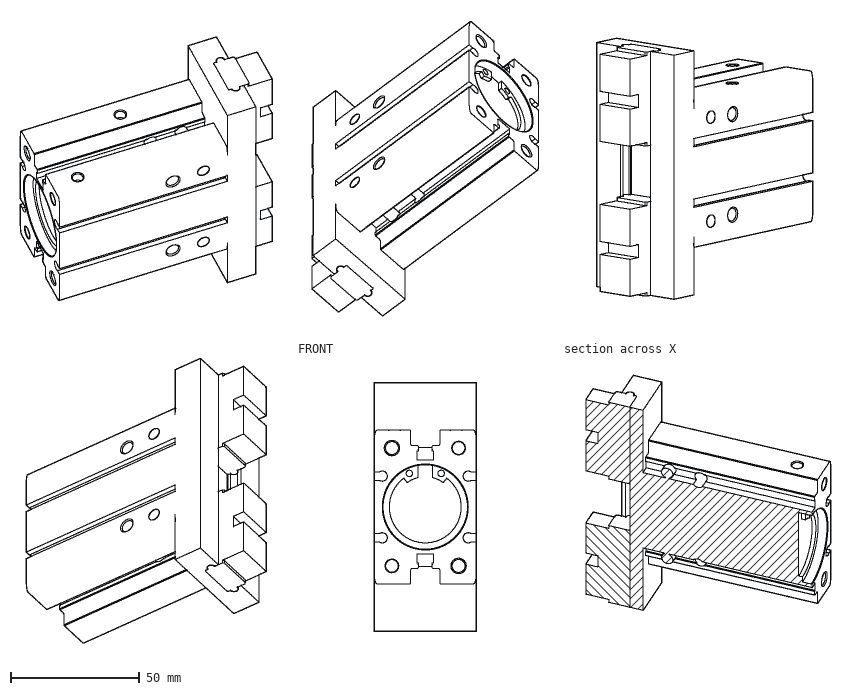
import cadquery as cq
import math


width = 40.0
flange_height = 97.0
body_height = 60.0
overall_length = 95.0
flange_thickness = 12.0
finger_reach = 12.0
flange_face_y = overall_length - finger_reach
body_length = flange_face_y - flange_thickness
half_width = width / 2
half_height = body_height / 2

side_arc_radius = 13.0
side_arc_height = 4.5
edge_fillet = 1.0

slot_width = 11.35
slot_depth = 6.1
slot_fillet = 0.7
slot_edge_chamfer = 0.3
neck_width = 5.3
neck_depth = 2.0
pocket_width = 6.6
pocket_floor_z = 18.3

groove_z = 12.0
groove_mouth = 3.3
groove_diameter = 4.0
groove_centre_depth = 3.2

bore_diameter = 33.0
bore_depth = 5.5
bore_chamfer = 0.3
ring_inner_diameter = 28.0
ring_thickness = 1.6
ring_gap = 5.8
ear_inner_diameter = 23.7
ear_half_angle = 36.6
ear_hole_diameter = 2.5
ear_hole_x = 6.2
ear_hole_z = 13.1

screw_diameter = 5.0
screw_countersink = 0.5
plain_hole_diameter = 4.9
plain_hole_countersink = 0.2
end_screw_x = 13.0
end_screw_z = 23.0
end_screw_depth = 20.0
cross_hole_diameter = 5.0
cross_hole_countersink = 0.5
cross_hole_y = 47.9
cross_hole_z = 20.0
pin_diameter = 4.9
pin_y = 60.8
pin_z = 20.7
pin_recess = 0.2
port_diameter = 4.2
port_chamfer = 0.4
port_depth = 4.0
port_x = 12.0
front_port_y = 11.0
rear_port_y = 39.0

jaw_width = 15.4
rail_length = 37.3
jaw_centre_z = (flange_height - rail_length) / 2
finger_length = 34.6
rail_back_y = 76.5
rail_front_y = 85.4
race_y = 79.5
race_radius = 1.6
race_clearance = 0.2
rail_front_chamfer = 0.6
rail_back_chamfer = 0.3
notch_width = 5.1
notch_depth = 4.9


def box(x_size, y_start, y_end, z_start, z_end):
    """Box centred on X between the given Y and Z limits."""
    return (
        cq.Workplane("XY", origin=(0, y_start, z_start))
        .rect(x_size, y_end - y_start, centered=(True, False))
        .extrude(z_end - z_start)
    )


def rod_y(diameter, x, z, y_start, y_end):
    """Cylinder along +Y."""
    return cq.Workplane("XZ", origin=(x, y_start, z)).circle(diameter / 2).extrude(y_start - y_end)


def rod_x(diameter, y, z, length):
    """Cylinder along X, centred on the YZ plane."""
    return cq.Workplane("YZ", origin=(0, y, z)).circle(diameter / 2).extrude(length / 2, both=True)


def both_ends(shape):
    """The shape together with its mirror image in the XY plane."""
    return shape.union(shape.mirror("XY"))


def edge_flare(slot_size, edge_z):
    """Wedge that chamfers both upper edges of a lengthwise slot."""
    inner_x = slot_size / 2
    outer_x = inner_x + slot_edge_chamfer
    low_z = edge_z - slot_edge_chamfer
    return (
        cq.Workplane("XZ")
        .polyline([(-outer_x, edge_z), (-inner_x, low_z), (inner_x, low_z), (outer_x, edge_z)])
        .close()
        .extrude(-body_length)
    )


def body_block():
    """Extruded body with rounded long edges."""
    arc_z = half_height - side_arc_height
    top_x = half_width - side_arc_radius + math.sqrt(side_arc_radius**2 - side_arc_height**2)
    block = (
        cq.Workplane("XZ")
        .moveTo(half_width, -arc_z)
        .lineTo(half_width, arc_z)
        .radiusArc((top_x, half_height), -side_arc_radius)
        .lineTo(-top_x, half_height)
        .radiusArc((-half_width, arc_z), -side_arc_radius)
        .lineTo(-half_width, -arc_z)
        .radiusArc((-top_x, -half_height), -side_arc_radius)
        .lineTo(top_x, -half_height)
        .radiusArc((half_width, -arc_z), -side_arc_radius)
        .close()
        .extrude(-body_length)
    )
    return block.faces(">Z or <Z").edges("|Y").fillet(edge_fillet)


def sensor_slots():
    """Wide slot, narrow neck and undercut pocket, at the top and the bottom."""
    slot_floor_z = half_height - slot_depth
    pocket_top_z = slot_floor_z - neck_depth
    slot = box(slot_width, 0, body_length, slot_floor_z, half_height)
    slot = slot.faces("<Z").edges("|Y").fillet(slot_fillet)
    neck = box(neck_width, 0, body_length, pocket_floor_z, slot_floor_z)
    pocket = box(pocket_width, 0, body_length, pocket_floor_z, pocket_top_z)
    flares = edge_flare(slot_width, half_height).union(edge_flare(neck_width, slot_floor_z))
    return both_ends(slot.union(neck).union(pocket).union(flares))


def side_grooves():
    """Four keyhole grooves along the body sides."""
    centre_x = half_width - groove_centre_depth
    mouth_x = half_width - groove_centre_depth / 2
    low_z = groove_z - groove_mouth / 2
    high_z = groove_z + groove_mouth / 2
    grooves = cq.Workplane("XY")
    for side in (-1, 1):
        mouth = box(groove_centre_depth, 0, body_length, low_z, high_z).translate((side * mouth_x, 0, 0))
        bottom = rod_y(groove_diameter, side * centre_x, groove_z, 0, body_length)
        grooves = grooves.union(both_ends(mouth.union(bottom)))
    return grooves


def bore():
    """Shallow bore down to the end cap, chamfered at its mouth."""
    sink = countersink(bore_diameter, bore_chamfer).rotate((0, 0, 0), (1, 0, 0), 90)
    return rod_y(bore_diameter, 0, 0, 0, bore_depth).union(sink)


def retaining_ring():
    """Ring on the end cap, open at the top between two ears with plier holes."""
    front_y = bore_depth - ring_thickness
    outer = rod_y(bore_diameter, 0, 0, front_y, bore_depth)
    ring = outer.cut(rod_y(ring_inner_diameter, 0, 0, front_y, bore_depth))
    sector_x = bore_diameter * math.tan(math.radians(ear_half_angle))
    sector = (
        cq.Workplane("XZ", origin=(0, front_y, 0))
        .polyline([(0, 0), (sector_x, bore_diameter), (-sector_x, bore_diameter)])
        .close()
        .extrude(-ring_thickness)
    )
    ears = outer.cut(rod_y(ear_inner_diameter, 0, 0, front_y, bore_depth)).intersect(sector)
    ring = ring.union(ears).cut(box(ring_gap, front_y, bore_depth, 0, bore_diameter))
    for side in (-1, 1):
        ring = ring.cut(rod_y(ear_hole_diameter, side * ear_hole_x, ear_hole_z, front_y, bore_depth))
    return ring


def countersink(diameter, depth):
    """Cone at the origin that narrows along -Z from the surface to the hole."""
    return cq.Workplane(cq.Solid.makeCone(diameter / 2, diameter / 2 + depth, depth, (0, 0, -depth)))


def end_screw_holes():
    """Four holes in the cylinder end; one diagonal pair has deep countersinks, the other a slight break."""
    holes = cq.Workplane("XY")
    for side in (-1, 1):
        for end in (-1, 1):
            if side != end:
                diameter, sink_depth = screw_diameter, screw_countersink
            else:
                diameter, sink_depth = plain_hole_diameter, plain_hole_countersink
            x = side * end_screw_x
            z = end * end_screw_z
            sink = countersink(diameter, sink_depth).rotate((0, 0, 0), (1, 0, 0), 90)
            holes = holes.union(rod_y(diameter, x, z, 0, end_screw_depth))
            holes = holes.union(sink.translate((x, 0, z)))
    return holes


def cross_holes():
    """Two through holes across the body, countersunk on both sides."""
    holes = rod_x(cross_hole_diameter, cross_hole_y, cross_hole_z, width)
    sink = countersink(cross_hole_diameter, cross_hole_countersink)
    for angle, x in ((90, half_width), (-90, -half_width)):
        turned = sink.rotate((0, 0, 0), (0, 1, 0), angle)
        holes = holes.union(turned.translate((x, cross_hole_y, cross_hole_z)))
    return both_ends(holes)


def air_ports():
    """Two chamfered ports in the top of the body."""
    ports = cq.Workplane("XY")
    sink = countersink(port_diameter, port_chamfer)
    for x, y in ((-port_x, rear_port_y), (port_x, front_port_y)):
        port = cq.Workplane("XY").circle(port_diameter / 2).extrude(-port_depth).union(sink)
        ports = ports.union(port.translate((x, y, half_height)))
    return ports


def jaw_rail(z_start, z_end, clearance=0.0):
    """Rail with a rounded race on each flank; the channel is the same shape with clearance at the races."""
    rail = box(jaw_width, rail_back_y, rail_front_y, z_start, z_end)
    rail = rail.faces(">Y").edges("|Z").chamfer(rail_front_chamfer)
    rail = rail.faces("<Y").edges("|Z").chamfer(rail_back_chamfer)
    races = (
        cq.Workplane("XY", origin=(0, race_y, z_start))
        .pushPoints([(-jaw_width / 2, 0), (jaw_width / 2, 0)])
        .circle(race_radius + clearance)
        .extrude(z_end - z_start)
    )
    return rail.union(races)


def make_housing():
    flange = box(width, body_length, flange_face_y, -flange_height / 2, flange_height / 2)
    housing = body_block().union(flange)
    housing = housing.cut(sensor_slots()).cut(side_grooves()).cut(cross_holes())
    housing = housing.cut(end_screw_holes()).cut(air_ports())
    housing = housing.cut(bore()).union(retaining_ring())
    pin_seats = both_ends(rod_x(pin_diameter, pin_y, pin_z, width))
    cross_pins = both_ends(rod_x(pin_diameter, pin_y, pin_z, width - 2 * pin_recess))
    housing = housing.cut(pin_seats).union(cross_pins)
    return housing.cut(jaw_rail(-flange_height / 2, flange_height / 2, race_clearance))


def make_jaw(end):
    """Jaw on the upper (end = 1) or lower (end = -1) half of the channel."""
    rail = jaw_rail(-rail_length / 2, rail_length / 2)
    finger = box(jaw_width, race_y, overall_length, -finger_length / 2, finger_length / 2)
    notch = box(jaw_width, overall_length - notch_depth, overall_length, -notch_width / 2, notch_width / 2)
    return rail.union(finger).cut(notch).translate((0, 0, end * jaw_centre_z))


housing = make_housing()
jaws = [make_jaw(end) for end in (-1, 1)]

result = cq.Compound.makeCompound([housing.val(), *[jaw.val() for jaw in jaws]])